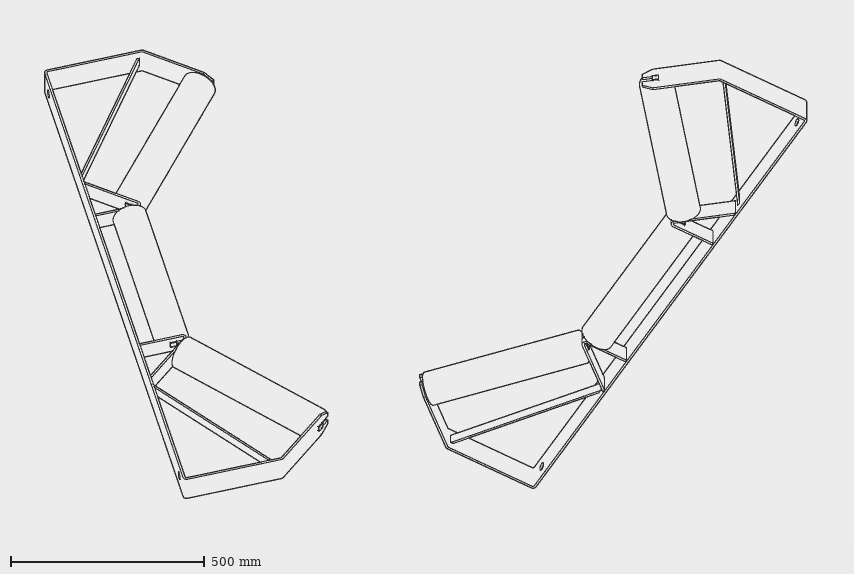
import cadquery as cq
import math


FRAME_LENGTH = 1400.0
STRIP = 6.0
STRIP_WIDTH = 80.0
FRAME_MID_Z = 50.0
BEND_RADIUS = 10.0
TROUGH_ANGLE = 40.0
OVERALL_HEIGHT = 421.0
SHOULDER_HEIGHT = 265.0
TIP_BEVEL_ALONG = 28.0
TIP_BEVEL_ACROSS = 17.0

MOUNT_INSET = 48.0
MOUNT_WIDTH = 17.0
MOUNT_LENGTH = 24.0

ROLLER_LENGTH = 428.0
ROLLER_RADIUS = 45.0
RIM_FILLET = 3.5
END_GAP = 4.0
TONGUE = 17.0
TONGUE_STICK_OUT = 3.0
AXLE_BELOW_TIP = 35.0
MIDDLE_AXLE_HEIGHT = 100.0

BRACKET_BOTTOM = 15.0
BRACKET_WIDTH = 53.0

BRACE_STRIP = 5.0
BRACE_WIDTH = 31.0
BRACE_TOP = 255.0
BRACE_FOOT = 350.0

HALF_LENGTH = FRAME_LENGTH / 2
slope = math.radians(TROUGH_ANGLE)
lean_x = math.sin(slope)
lean_y = math.cos(slope)
arm_length = (OVERALL_HEIGHT - SHOULDER_HEIGHT) / lean_y
middle_z = ROLLER_RADIUS
frame_bottom = FRAME_MID_Z - STRIP_WIDTH / 2
side_pitch = ROLLER_LENGTH + 2 * END_GAP
half_span = side_pitch / 2
roller_tilt = math.degrees(math.asin((FRAME_MID_Z - middle_z) / side_pitch))

arm_tip = (-HALF_LENGTH + arm_length * lean_x, OVERALL_HEIGHT)
arm_axle = (arm_tip[0] - AXLE_BELOW_TIP * lean_x, arm_tip[1] - AXLE_BELOW_TIP * lean_y)
side_offset = STRIP + half_span
side_centre = (
    arm_axle[0] + side_offset * lean_y,
    arm_axle[1] - side_offset * lean_x,
    (FRAME_MID_Z + middle_z) / 2,
)


def place_left(shape):
    """Move a shape from the roller's own axes to the left side roller."""
    tilted = shape.rotate((0, 0, 0), (0, 1, 0), roller_tilt)
    sloped = tilted.rotate((0, 0, 0), (0, 0, 1), -TROUGH_ANGLE)
    return sloped.translate(side_centre)


def place_middle(shape):
    """Move a shape from the roller's own axes to the middle roller."""
    return shape.translate((0, MIDDLE_AXLE_HEIGHT, middle_z))


def mirrored(shape):
    """Copy of a left-hand shape for the right-hand side."""
    return shape.mirror("YZ")


def make_roller():
    """Roller along X about the origin, with a square tongue at each end."""
    half_length = ROLLER_LENGTH / 2
    drum = cq.Workplane("YZ").workplane(offset=-half_length).circle(ROLLER_RADIUS).extrude(ROLLER_LENGTH)
    drum = drum.edges("%CIRCLE").fillet(RIM_FILLET)
    tongue_reach = half_span + STRIP + TONGUE_STICK_OUT
    axle = cq.Workplane("XY").box(2 * tongue_reach, TONGUE, TONGUE)
    return drum.union(axle)


def make_tongue_slots():
    """Cutters for the open slots in which both tongues of a roller sit."""
    depth = STRIP + END_GAP + TONGUE_STICK_OUT
    height = 2 * AXLE_BELOW_TIP
    centre_x = ROLLER_LENGTH / 2 + depth / 2
    return (
        cq.Workplane("XY")
        .pushPoints([(-centre_x, 0), (centre_x, 0)])
        .box(depth, height, TONGUE)
        .translate((0, (height - TONGUE) / 2, 0))
    )


def extrude_outline(outline, bottom, width):
    """Straight-sided outline in the XY plane, extruded along Z."""
    return cq.Workplane("XY").workplane(offset=bottom).polyline(outline).close().extrude(width)


def round_bend(strip, corner, radius):
    """Round the Z edge of a strip that stands nearest to an XY corner."""
    nearest = cq.selectors.NearestToPointSelector((*corner, FRAME_MID_Z))
    return strip.edges("|Z").edges(nearest).fillet(radius)


def make_frame():
    """Base, uprights and inclined arms bent from one strip."""
    inner_x = -HALF_LENGTH + STRIP
    outer_corner = (-HALF_LENGTH, 0)
    outer_shoulder = (-HALF_LENGTH, SHOULDER_HEIGHT)
    inner_tip = (arm_tip[0] + STRIP * lean_y, arm_tip[1] - STRIP * lean_x)
    inner_shoulder = (inner_x, SHOULDER_HEIGHT - STRIP * math.tan(slope / 2))
    inner_corner = (inner_x, STRIP)
    outline = [
        (0, 0),
        outer_corner,
        outer_shoulder,
        arm_tip,
        inner_tip,
        inner_shoulder,
        inner_corner,
        (0, STRIP),
    ]
    half = extrude_outline(outline, frame_bottom, STRIP_WIDTH)
    for corner in (outer_corner, outer_shoulder):
        half = round_bend(half, corner, BEND_RADIUS)
    for corner in (inner_corner, inner_shoulder):
        half = round_bend(half, corner, BEND_RADIUS - STRIP)

    half = half.cut(make_tip_bevels())
    half = half.cut(place_left(make_tongue_slots()))
    half = half.cut(make_mount_slot())
    return half.union(mirrored(half)).clean()


def make_mount_slot():
    """Cutter for the upright mounting slot near the left end of the base."""
    return (
        cq.Workplane("XZ")
        .center(-HALF_LENGTH + MOUNT_INSET, FRAME_MID_Z)
        .slot2D(MOUNT_LENGTH, MOUNT_WIDTH, 90)
        .extrude(-STRIP)
    )


def make_tip_bevels():
    """Two wedges that bevel the corners of the left arm tip."""
    plane = cq.Plane(
        origin=(arm_tip[0], arm_tip[1], FRAME_MID_Z),
        xDir=(lean_x, lean_y, 0),
        normal=(lean_y, -lean_x, 0),
    )
    half_width = STRIP_WIDTH / 2
    wedges = cq.Workplane(plane)
    for side in (-1, 1):
        wedges = (
            wedges.moveTo(0, side * half_width)
            .lineTo(-TIP_BEVEL_ALONG, side * half_width)
            .lineTo(0, side * (half_width - TIP_BEVEL_ACROSS))
            .close()
        )
    return wedges.extrude(STRIP)


def make_left_bracket():
    """Folded strip that carries the middle roller and the left side roller."""
    leg_x = -half_span
    crossing_x = arm_axle[0] + (STRIP + side_pitch) * lean_y
    crossing_y = arm_axle[1] - (STRIP + side_pitch) * lean_x
    steepness = lean_y / lean_x

    def make_wedge(depth, radius):
        """Area between leg and incline, taken at a depth inside the strip."""
        right_x = leg_x - depth
        incline_x = crossing_x + depth / lean_y
        fold = (right_x, crossing_y + (right_x - incline_x) * steepness)
        foot = (incline_x + (STRIP - crossing_y) / steepness, STRIP)
        wedge = extrude_outline([(right_x, STRIP), fold, foot], BRACKET_BOTTOM, BRACKET_WIDTH)
        return round_bend(wedge, fold, radius)

    bracket = make_wedge(0, BEND_RADIUS).cut(make_wedge(STRIP, BEND_RADIUS - STRIP))
    slots = make_tongue_slots()
    return bracket.cut(place_left(slots)).cut(place_middle(slots))


def make_left_brace():
    """Flat diagonal strip from the upright down to the base."""
    top = (-HALF_LENGTH + STRIP, BRACE_TOP)
    foot = (-BRACE_FOOT, STRIP)
    angle = math.atan2(top[1] - foot[1], foot[0] - top[0])
    outline = [
        top,
        foot,
        (foot[0] - BRACE_STRIP / math.sin(angle), STRIP),
        (top[0], top[1] - BRACE_STRIP / math.cos(angle)),
    ]
    return extrude_outline(outline, FRAME_MID_Z - BRACE_WIDTH / 2, BRACE_WIDTH)


frame = make_frame()
roller = make_roller()
middle_roller = place_middle(roller)
left_roller = place_left(roller)
left_bracket = make_left_bracket()
left_brace = make_left_brace()

bodies = [frame.solids().val(), middle_roller.solids().val()]
for left_body in (left_roller, left_bracket, left_brace):
    bodies.append(left_body.solids().val())
    bodies.append(mirrored(left_body).solids().val())

result = cq.Compound.makeCompound(bodies)